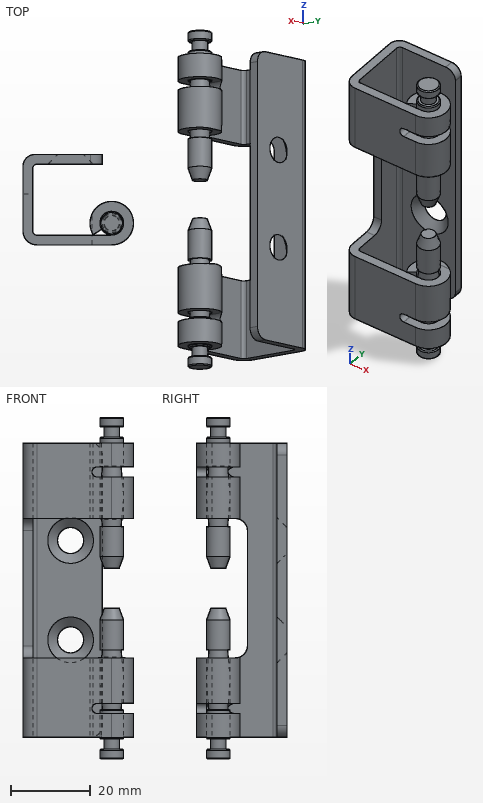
import cadquery as cq
import math

sheet = 2.5
bracket_height = 74.0
bracket_depth = 22.8
overall_width = 27.85
back_wall_length = 20.0
back_corner_radius = 3.0
bend_inner_radius = 1.0
bend_outer_radius = bend_inner_radius + sheet
back_bend_outer_radius = 3.0

pin_radius = 3.0
knuckle_outer_radius = pin_radius + sheet
hinge_x = overall_width - knuckle_outer_radius
hinge_y = knuckle_outer_radius
knuckle_start_angle = math.radians(-90)
knuckle_end_angle = math.radians(212)
knuckle_middle_angle = (knuckle_start_angle + knuckle_end_angle) / 2

lower_lug_height = 20.0
upper_lug_height = 19.0
window_height = bracket_height - lower_lug_height - upper_lug_height
side_wall_strip = 10.0
window_depth = bracket_depth - side_wall_strip
window_corner_radius = 3.0

slot_width = 2.5
slot_margin = 6.0
slot_end_x = 17.4

screw_hole_diameter = 6.5
countersink_diameter = screw_hole_diameter + 2 * sheet
screw_hole_x = 12.0
screw_hole_margin = 24.5

head_length = 2.5
neck_end = 5.0
collar_end = 12.5
relief_end = 27.5
shank_end = 35.0
pin_length = 38.0
neck_radius = 2.0
relief_radius = 2.4
tip_radius = 1.9
pin_chamfer = 0.3
upper_pin_projection = 6.5
lower_pin_projection = 5.5

clearance = 1.0


def point_on_knuckle(radius, angle):
    return (hinge_x + radius * math.cos(angle), hinge_y + radius * math.sin(angle))


def bent_sheet():
    """Channel with the rolled front edge, the same section over the full height."""
    back_inner_y = bracket_depth - sheet
    profile = (
        cq.Workplane("XY")
        .moveTo(back_wall_length, bracket_depth)
        .lineTo(back_bend_outer_radius, bracket_depth)
        .radiusArc((0, bracket_depth - back_bend_outer_radius), -back_bend_outer_radius)
        .lineTo(0, bend_outer_radius)
        .radiusArc((bend_outer_radius, 0), -bend_outer_radius)
        .lineTo(hinge_x, 0)
        .threePointArc(
            point_on_knuckle(knuckle_outer_radius, knuckle_middle_angle),
            point_on_knuckle(knuckle_outer_radius, knuckle_end_angle),
        )
        .lineTo(*point_on_knuckle(pin_radius, knuckle_end_angle))
        .threePointArc(point_on_knuckle(pin_radius, knuckle_middle_angle), (hinge_x, sheet))
        .lineTo(bend_outer_radius, sheet)
        .radiusArc((sheet, bend_outer_radius), bend_inner_radius)
        .lineTo(sheet, back_inner_y - bend_inner_radius)
        .radiusArc((bend_outer_radius, back_inner_y), bend_inner_radius)
        .lineTo(back_wall_length, back_inner_y)
        .close()
    )
    return profile.extrude(bracket_height)


def window_cutter():
    """Rounded block that clears the front of the channel between the two lugs."""
    block = cq.Workplane("XY").box(
        overall_width + 2 * clearance, window_depth + clearance, window_height, centered=False
    )
    return (
        block.translate((-clearance, -clearance, lower_lug_height))
        .edges("|X and >Y")
        .fillet(window_corner_radius)
    )


def slot_cutter(slot_z):
    """Slot with a round inner end, open to +X, cut through the whole knuckle."""
    slot_depth = 2 * knuckle_outer_radius + 2 * clearance
    round_center_x = slot_end_x + slot_width / 2
    slot_length = overall_width + clearance - round_center_x
    block = cq.Workplane("XY").box(slot_length, slot_depth, slot_width, centered=(False, False, True))
    round_end = cq.Workplane("XZ").circle(slot_width / 2).extrude(-slot_depth)
    return block.union(round_end).translate((round_center_x, -clearance, slot_z))


def screw_hole_cutter(hole_z):
    """Cone from the inside of the back wall down to the hole size on its outside."""
    cone = cq.Solid.makeCone(
        countersink_diameter / 2,
        screw_hole_diameter / 2,
        sheet,
        pnt=cq.Vector(screw_hole_x, bracket_depth - sheet, hole_z),
        dir=cq.Vector(0, 1, 0),
    )
    return cq.Workplane(cone)


def build_bracket():
    body = bent_sheet().cut(window_cutter())
    for slot_z in (slot_margin + slot_width / 2, bracket_height - slot_margin - slot_width / 2):
        body = body.cut(slot_cutter(slot_z))
    for hole_z in (screw_hole_margin, bracket_height - screw_hole_margin):
        body = body.cut(screw_hole_cutter(hole_z))
    back_corners = cq.selectors.BoxSelector(
        (back_wall_length - clearance, bracket_depth - sheet - clearance, -clearance),
        (back_wall_length + clearance, bracket_depth + clearance, bracket_height + clearance),
    )
    return body.edges(back_corners).edges("|Y").fillet(back_corner_radius)


def build_pin(head_z, direction):
    """Turned pin with its head at head_z; direction is +1 when the tip points up."""
    profile = [
        (0, 0),
        (pin_radius - pin_chamfer, 0),
        (pin_radius, pin_chamfer),
        (pin_radius, head_length - pin_chamfer),
        (pin_radius - pin_chamfer, head_length),
        (neck_radius, head_length),
        (neck_radius, neck_end),
        (pin_radius - pin_chamfer, neck_end),
        (pin_radius, neck_end + pin_chamfer),
        (pin_radius, collar_end - pin_chamfer),
        (pin_radius - pin_chamfer, collar_end),
        (relief_radius, collar_end),
        (pin_radius, (collar_end + relief_end) / 2),
        (relief_radius, relief_end),
        (pin_radius, relief_end),
        (pin_radius, shank_end),
        (tip_radius, pin_length),
        (0, pin_length),
    ]
    points = [(radius, direction * distance) for radius, distance in profile]
    pin = cq.Workplane("XZ").polyline(points).close().revolve(360, (0, 0), (0, 1))
    return pin.translate((hinge_x, hinge_y, head_z))


bracket = build_bracket()
pins = [
    build_pin(head_z, direction)
    for head_z, direction in (
        (-lower_pin_projection, 1),
        (bracket_height + upper_pin_projection, -1),
    )
]

result = cq.Compound.makeCompound([bracket.val(), *[pin.val() for pin in pins]])